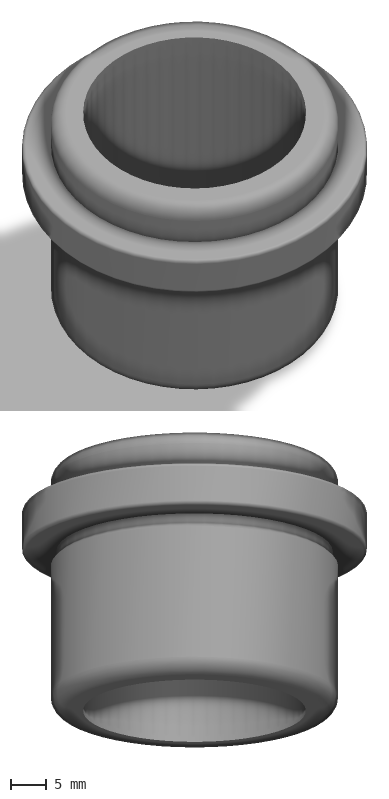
import cadquery as cq

flange_diameter = 48.0
body_diameter = 39.98
bore_diameter = 31.0
height = 35.0
flange_thickness = 6.0
collar_height = 6.0
end_fillet = 2.0
flange_fillet = 0.5

groove_depth = 0.7
groove_width = 2.0
groove_slope_height = 0.7

flange_top = height - collar_height
flange_bottom = flange_top - flange_thickness
flange_radius = flange_diameter / 2
body_radius = body_diameter / 2
groove_radius = body_radius - groove_depth
groove_bottom = flange_bottom - groove_width


def make_body():
    """Barrel with both outer end edges rounded."""
    barrel = cq.Workplane("XY").circle(body_radius).extrude(height)
    return barrel.faces("<Z or >Z").edges().fillet(end_fillet)


def make_flange():
    """Flange ring with both rims rounded."""
    base = cq.Workplane("XY").workplane(offset=flange_bottom)
    disc = base.circle(flange_radius).extrude(flange_thickness)
    return disc.edges().fillet(flange_fillet)


def make_groove():
    """Ring of material removed from the barrel just below the flange."""
    return (
        cq.Workplane("XZ")
        .moveTo(body_radius, groove_bottom)
        .lineTo(groove_radius, groove_bottom + groove_slope_height)
        .lineTo(groove_radius, flange_bottom)
        .lineTo(flange_radius, flange_bottom)
        .lineTo(flange_radius, groove_bottom)
        .close()
        .revolve(360, (0, 0, 0), (0, 1, 0))
    )


bore = cq.Workplane("XY").circle(bore_diameter / 2).extrude(height)
result = make_body().cut(make_groove()).union(make_flange()).cut(bore)